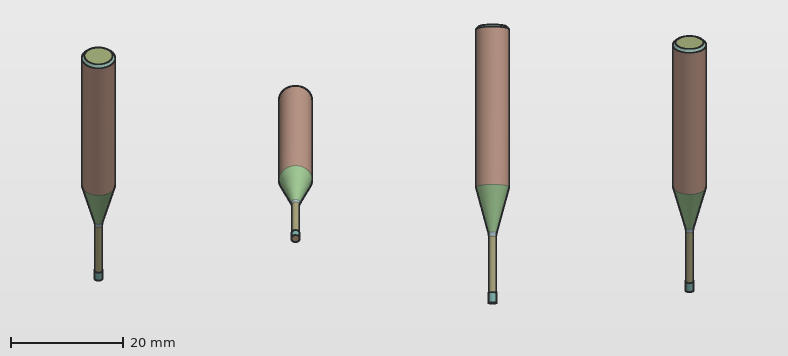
import cadquery as cq
import math

overall_length = 50.0
shank_diameter = 6.0
shank_chamfer = 0.5

head_diameter = 1.5
head_length = 1.8
head_back_taper = 0.01

neck_diameter = 1.4
step_length = 0.17
neck_end = 12.0
cone_half_angle = math.radians(15)
blend_radius = 3.0

shank_radius = shank_diameter / 2
head_radius = head_diameter / 2
head_back_radius = head_radius - head_back_taper
neck_radius = neck_diameter / 2
neck_start = head_length + step_length


def blend_point(angle):
    """Point (radius, height) of the blend arc where its wall leans out by the given angle."""
    radius = neck_radius + blend_radius * (1 - math.cos(angle))
    height = neck_end + blend_radius * math.sin(angle)
    return radius, height


cone_tip_radius, cone_start = blend_point(cone_half_angle)
shank_start = cone_start + (shank_radius - cone_tip_radius) / math.tan(cone_half_angle)


def make_cutting_head():
    """Cutting end, slightly narrower towards its back."""
    return (
        cq.Workplane("XZ")
        .lineTo(head_radius, 0)
        .lineTo(head_back_radius, head_length)
        .lineTo(0, head_length)
        .close()
        .revolve(360, (0, 0, 0), (0, 1, 0))
    )


def make_holder():
    """Step, neck, blend, main cone and chamfered shank, turned as one piece about Z."""
    return (
        cq.Workplane("XZ")
        .moveTo(0, head_length)
        .lineTo(head_back_radius, head_length)
        .lineTo(neck_radius, neck_start)
        .lineTo(neck_radius, neck_end)
        .threePointArc(blend_point(cone_half_angle / 2), (cone_tip_radius, cone_start))
        .lineTo(shank_radius, shank_start)
        .lineTo(shank_radius, overall_length - shank_chamfer)
        .lineTo(shank_radius - shank_chamfer, overall_length)
        .lineTo(0, overall_length)
        .close()
        .revolve(360, (0, 0, 0), (0, 1, 0))
    )


cutting_head = make_cutting_head()
holder = make_holder()

result = cq.Compound.makeCompound([cutting_head.val(), holder.val()])